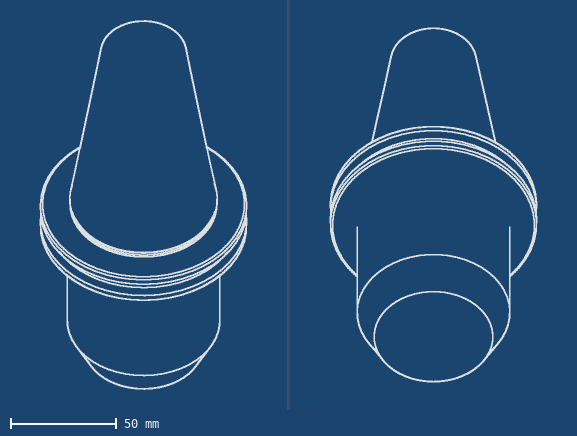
import cadquery as cq
import math

total_height = 201.8
taper_length = 101.7
gauge_z = total_height - taper_length

gauge_radius = 35.0
taper_slope = 7 / 48
shank_top_radius = gauge_radius - taper_length * taper_slope
shank_top_fillet = 2.2

neck_radius = 34.0
neck_shoulder_height = 1.2
neck_foot_chamfer = 0.6

flange_radius = 48.72
flange_top_z = gauge_z - 3.2
flange_bottom_z = gauge_z - 19.2
flange_chamfer = 1.0
groove_center_z = gauge_z - 11.0
groove_floor_radius = 45.4
groove_half_mouth = 3.8
groove_wall_angle = math.radians(30)
groove_wall_rise = (flange_radius - groove_floor_radius) * math.tan(groove_wall_angle)
groove_half_floor = groove_half_mouth - groove_wall_rise

body_radius = 36.1
body_fillet = 2.6
nose_radius = 28.0
nose_height = 17.5


def make_shank():
    """Tapered shank with a rounded upper rim."""
    shank = (
        cq.Workplane("XZ")
        .moveTo(0, gauge_z)
        .lineTo(gauge_radius, gauge_z)
        .lineTo(shank_top_radius, total_height)
        .lineTo(0, total_height)
        .close()
        .revolve(360, (0, 0), (0, 1))
    )
    return shank.faces(">Z").edges().fillet(shank_top_fillet)


def make_lower_part():
    """Nose, body, grooved flange and relief neck as one turned profile."""
    fillet_center = (body_radius + body_fillet, flange_bottom_z - body_fillet)
    fillet_middle = (
        fillet_center[0] - body_fillet * math.cos(math.pi / 4),
        fillet_center[1] + body_fillet * math.sin(math.pi / 4),
    )
    return (
        cq.Workplane("XZ")
        .lineTo(nose_radius, 0)
        .lineTo(body_radius, nose_height)
        .lineTo(body_radius, fillet_center[1])
        .threePointArc(fillet_middle, (fillet_center[0], flange_bottom_z))
        .lineTo(flange_radius - flange_chamfer, flange_bottom_z)
        .lineTo(flange_radius, flange_bottom_z + flange_chamfer)
        .lineTo(flange_radius, groove_center_z - groove_half_mouth)
        .lineTo(groove_floor_radius, groove_center_z - groove_half_floor)
        .lineTo(groove_floor_radius, groove_center_z + groove_half_floor)
        .lineTo(flange_radius, groove_center_z + groove_half_mouth)
        .lineTo(flange_radius, flange_top_z - flange_chamfer)
        .lineTo(flange_radius - flange_chamfer, flange_top_z)
        .lineTo(neck_radius + neck_foot_chamfer, flange_top_z)
        .lineTo(neck_radius, flange_top_z + neck_foot_chamfer)
        .lineTo(neck_radius, gauge_z - neck_shoulder_height)
        .lineTo(gauge_radius, gauge_z)
        .lineTo(0, gauge_z)
        .close()
        .revolve(360, (0, 0), (0, 1))
    )


result = make_lower_part().union(make_shank())